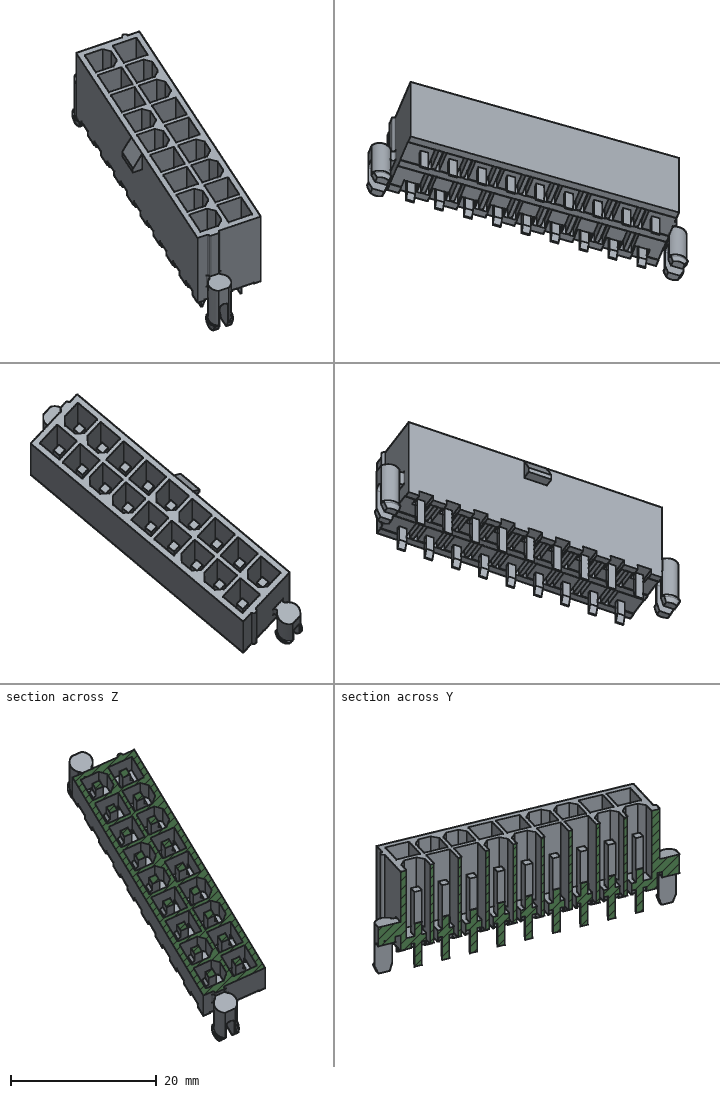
import cadquery as cq
import math

COLUMNS = 9
PITCH = 4.2
HOUSING_LENGTH = 39.0
HOUSING_WIDTH = 9.6
HOUSING_HEIGHT = 12.8
HALF_LENGTH = HOUSING_LENGTH / 2
FRONT_Y = -HOUSING_WIDTH / 2
BACK_Y = HOUSING_WIDTH / 2

CAVITY_SIZE = 3.6
CAVITY_CHAMFER = 0.88
CAVITY_ROW_PITCH = 4.25
FLOOR_THICKNESS = 2.0
CHAMFERED_COLUMNS_FRONT = (0, 3, 4, 7, 8)
CHAMFERED_COLUMNS_BACK = (1, 2, 5, 6)

FLOOR_SLOT_WIDTH = 0.55
FLOOR_SLOT_LENGTH = CAVITY_SIZE - 0.3

STANDOFF = 0.15
STANDOFF_WIDTH = 1.05
NOTCH_WIDTH = 2.1
NOTCH_HEIGHT = 0.8

CONTACT_CENTER_Y = -0.18
CONTACT_ROW_PITCH = 4.15
CONTACT_WIDTH = 1.15
CONTACT_DEPTH = CONTACT_WIDTH
CONTACT_TOP = 9.0
SHOULDER_TOP = FLOOR_THICKNESS + 2.0
SHOULDER_HEIGHT = 0.425
TAIL_ROW_PITCH = 5.5
TAIL_DEPTH = 0.64
TAIL_BOTTOM = -3.5
TAIL_TAPER_START = -2.3
TAIL_TIP_DEPTH = 0.2

LATCH_WIDTH = 3.5
LATCH_REACH = 1.4
LATCH_HEIGHT = 3.1
LATCH_LIP = 0.78

OVERALL_LENGTH = 45.78
PEG_RADIUS = 1.6
PEG_FLAT_WIDTH = 1.5
PEG_OUTER_FLAT = math.sqrt(PEG_RADIUS ** 2 - (PEG_FLAT_WIDTH / 2) ** 2)
PEG_INNER_FLAT = 1.25
PEG_X = OVERALL_LENGTH / 2 - PEG_OUTER_FLAT
PEG_Y = -2.4
PEG_TOP = 4.8
PEG_BOTTOM = -3.3
BARB_RADIUS = 1.86
BARB_TOP = -2.05
BARB_EDGE_HEIGHT = 0.33
PEG_TIP_RADIUS = 1.62
PEG_TIP_HALF_LENGTH = 0.85
PEG_SLOT_WIDTH = 1.2
PEG_SLOT_TOP = 1.9

NECK_WIDTH = 1.5
NECK_BOTTOM = 2.6

RIB_REACH = 0.4
LEFT_RIB_Y = 2.63
RIGHT_RIB_FILLET = RIB_REACH / 2


def column_x(column):
    return (column - (COLUMNS - 1) / 2) * PITCH


def box(x_min, x_max, y_min, y_max, z_min, z_max):
    """Axis-aligned box between the given limits."""
    return (
        cq.Workplane("XY")
        .box(x_max - x_min, y_max - y_min, z_max - z_min, centered=False)
        .translate((x_min, y_min, z_min))
    )


def cavity(x, y, chamfered):
    """Square cavity; a keyed one has chamfered corners on its +Y side."""
    half = CAVITY_SIZE / 2
    body = box(x - half, x + half, y - half, y + half, FLOOR_THICKNESS, HOUSING_HEIGHT)
    if chamfered:
        body = body.faces(">Y").edges("|Z").chamfer(CAVITY_CHAMFER)
    return body


def floor_slots(column, y):
    """Floor slots on the sides of a cavity that face another cavity."""
    inner = CAVITY_SIZE / 2 - FLOOR_SLOT_WIDTH / 2
    slots = cq.Workplane("XY")
    for side, end_column in ((-1, 0), (1, COLUMNS - 1)):
        if column != end_column:
            slots = slots.union(
                cq.Workplane("XY")
                .center(column_x(column) + side * inner, y)
                .rect(FLOOR_SLOT_WIDTH, FLOOR_SLOT_LENGTH)
                .extrude(FLOOR_THICKNESS)
            )
    return slots


def housing():
    body = box(-HALF_LENGTH, HALF_LENGTH, FRONT_Y, BACK_Y, 0, HOUSING_HEIGHT)

    for y_min, y_max in (
        (FRONT_Y + STANDOFF_WIDTH, -STANDOFF_WIDTH / 2),
        (STANDOFF_WIDTH / 2, BACK_Y - STANDOFF_WIDTH),
    ):
        body = body.cut(box(-HALF_LENGTH, HALF_LENGTH, y_min, y_max, 0, STANDOFF))

    for side, chamfered_columns in ((-1, CHAMFERED_COLUMNS_FRONT), (1, CHAMFERED_COLUMNS_BACK)):
        y = side * CAVITY_ROW_PITCH / 2
        for column in range(COLUMNS):
            body = body.cut(cavity(column_x(column), y, column in chamfered_columns))
            body = body.cut(floor_slots(column, y))

    notch_back = CONTACT_CENTER_Y - TAIL_ROW_PITCH / 2 + TAIL_DEPTH / 2
    for column in range(COLUMNS):
        x = column_x(column)
        half = NOTCH_WIDTH / 2
        body = body.cut(box(x - half, x + half, FRONT_Y, notch_back, 0, NOTCH_HEIGHT))
    return body


def contact(x, side):
    """Contact with a square blade and a thinner tail set outward; side is -1 front, 1 back."""
    blade_outer = (CONTACT_ROW_PITCH + CONTACT_DEPTH) / 2
    blade_inner = blade_outer - CONTACT_DEPTH
    tail_outer = (TAIL_ROW_PITCH + TAIL_DEPTH) / 2
    tail_inner = tail_outer - TAIL_DEPTH
    outline = [
        (blade_inner, CONTACT_TOP),
        (blade_outer, CONTACT_TOP),
        (blade_outer, SHOULDER_TOP),
        (tail_outer, SHOULDER_TOP - SHOULDER_HEIGHT),
        (tail_outer, TAIL_BOTTOM),
        (tail_outer - TAIL_TIP_DEPTH, TAIL_BOTTOM),
        (tail_inner, TAIL_TAPER_START),
        (tail_inner, NOTCH_HEIGHT),
        (blade_inner, NOTCH_HEIGHT),
    ]
    points = [(CONTACT_CENTER_Y + side * offset, z) for offset, z in outline]
    return (
        cq.Workplane("YZ")
        .polyline(points)
        .close()
        .extrude(CONTACT_WIDTH / 2, both=True)
        .translate((x, 0, 0))
    )


def latch():
    bottom = HOUSING_HEIGHT - LATCH_HEIGHT
    return (
        cq.Workplane("YZ")
        .moveTo(FRONT_Y, HOUSING_HEIGHT)
        .lineTo(FRONT_Y - LATCH_REACH, bottom + LATCH_LIP)
        .lineTo(FRONT_Y - LATCH_REACH, bottom)
        .lineTo(FRONT_Y, bottom)
        .close()
        .extrude(LATCH_WIDTH / 2, both=True)
    )


def peg():
    """Right-hand split peg: round shank, barbed tip, flats facing +X and -X."""
    barb_edge = BARB_TOP - BARB_EDGE_HEIGHT
    shank = (
        cq.Workplane("XZ")
        .moveTo(0, PEG_TOP)
        .lineTo(PEG_RADIUS, PEG_TOP)
        .lineTo(PEG_RADIUS, BARB_TOP)
        .lineTo(BARB_RADIUS, BARB_TOP)
        .lineTo(BARB_RADIUS, barb_edge)
        .lineTo(PEG_TIP_RADIUS, PEG_BOTTOM)
        .lineTo(0, PEG_BOTTOM)
        .close()
        .revolve(360, (0, 0), (0, 1))
    )
    flats = (
        cq.Workplane("XZ")
        .moveTo(-PEG_INNER_FLAT, PEG_TOP)
        .lineTo(PEG_OUTER_FLAT, PEG_TOP)
        .lineTo(PEG_OUTER_FLAT, BARB_TOP)
        .lineTo(PEG_TIP_HALF_LENGTH, PEG_BOTTOM)
        .lineTo(-PEG_TIP_HALF_LENGTH, PEG_BOTTOM)
        .lineTo(-PEG_INNER_FLAT, BARB_TOP)
        .close()
        .extrude(BARB_RADIUS, both=True)
    )
    slot_half = PEG_SLOT_WIDTH / 2
    slot = (
        cq.Workplane("YZ")
        .moveTo(-slot_half, PEG_BOTTOM)
        .lineTo(-slot_half, PEG_SLOT_TOP - slot_half)
        .threePointArc((0, PEG_SLOT_TOP), (slot_half, PEG_SLOT_TOP - slot_half))
        .lineTo(slot_half, PEG_BOTTOM)
        .close()
        .extrude(BARB_RADIUS, both=True)
    )
    return shank.intersect(flats).cut(slot).translate((PEG_X, PEG_Y, 0))


def neck():
    """Bridge from the right end face to its peg, with half-round hollows along both sides."""
    half = NECK_WIDTH / 2
    start = HALF_LENGTH
    end = PEG_X - PEG_INNER_FLAT
    middle = (start + end) / 2
    flare = half + (end - start) / 2
    return (
        cq.Workplane("XY", origin=(0, PEG_Y, NECK_BOTTOM))
        .moveTo(start, -flare)
        .threePointArc((middle, -half), (end, -flare))
        .lineTo(end, flare)
        .threePointArc((middle, half), (start, flare))
        .close()
        .extrude(PEG_TOP - NECK_BOTTOM)
    )


def left_rib():
    """Half-round rib over the full height of the left end face."""
    return (
        cq.Workplane("XY", origin=(-HALF_LENGTH, LEFT_RIB_Y, STANDOFF))
        .moveTo(0, RIB_REACH)
        .threePointArc((-RIB_REACH, 0), (0, -RIB_REACH))
        .close()
        .extrude(HOUSING_HEIGHT - STANDOFF)
    )


def right_rib():
    """Flat rib on the right end face, rising from the neck to the top, with flared sides."""
    half = NECK_WIDTH / 2
    radius = RIGHT_RIB_FILLET
    sag = radius * (1 - math.sqrt(0.5))
    return (
        cq.Workplane("XY", origin=(HALF_LENGTH, PEG_Y, NECK_BOTTOM))
        .moveTo(0, -half - radius)
        .threePointArc((sag, -half - sag), (radius, -half))
        .threePointArc((RIB_REACH - sag, -half + sag), (RIB_REACH, -half + radius))
        .lineTo(RIB_REACH, half - radius)
        .threePointArc((RIB_REACH - sag, half - sag), (radius, half))
        .threePointArc((sag, half + sag), (0, half + radius))
        .close()
        .extrude(HOUSING_HEIGHT - NECK_BOTTOM)
    )


result = housing().union(latch()).union(left_rib()).union(right_rib())

right_peg = peg().union(neck())
result = result.union(right_peg).union(right_peg.mirror("YZ"))

for column in range(COLUMNS):
    for side in (-1, 1):
        result = result.union(contact(column_x(column), side))